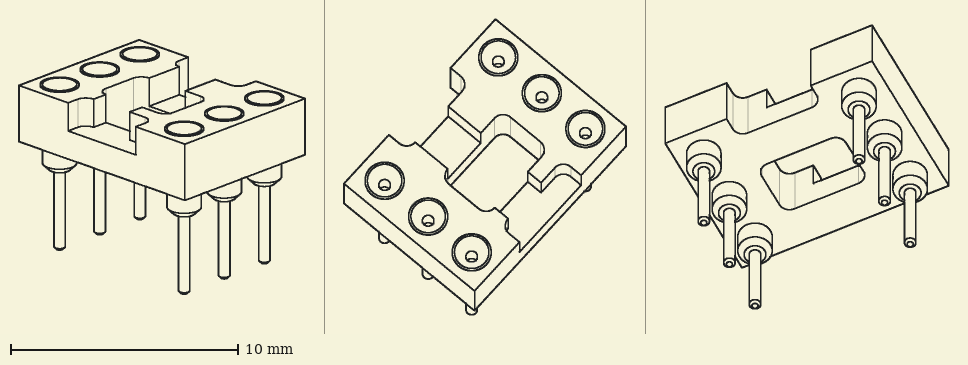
import cadquery as cq

total_height = 7.79
pitch = 2.54
pins_per_row = 3
row_spacing = 3 * pitch

body_length = 4 * pitch
body_width = pins_per_row * pitch
body_height = 2.66
bar_height = body_height / 2

opening_width = 4.13
corner_radius = 0.5
notch_depth = 1.1
window_back_y = 0.81
window_front_y = -1.93
channel_width = 2.21
channel_left_x = corner_radius - opening_width / 2

rim_diameter = 1.72
rim_height = 0.04
collar_diameter = 1.52
collar_length = 1.02
collar_taper_length = 0.28
collar_end_diameter = collar_diameter - 2 * collar_taper_length
lead_diameter = 0.51
lead_chamfer = 0.12
funnel_diameter = 1.52
funnel_depth = 0.58
socket_diameter = 0.51
socket_depth = 1.0

rim_top_z = body_height + rim_height
tip_z = rim_top_z - total_height
taper_top_z = -collar_length
taper_end_z = taper_top_z - collar_taper_length
funnel_floor_z = rim_top_z - funnel_depth
socket_floor_z = funnel_floor_z - socket_depth
back_y = body_width / 2
front_y = -body_width / 2


def pocket(left_x, front, width, depth, floor_z):
    """Rectangular cutter from floor_z up to the top of the body."""
    return cq.Workplane("XY").box(width, depth, body_height - floor_z, centered=False).translate(
        (left_x, front, floor_z)
    )


def make_window():
    """Through window with four rounded corners."""
    window = pocket(
        -opening_width / 2, window_front_y, opening_width, window_back_y - window_front_y, 0
    )
    return window.edges("|Z").fillet(corner_radius)


def make_back_notch():
    """Full-height notch in the +Y end with rounded inner corners."""
    notch = pocket(-opening_width / 2, back_y - notch_depth, opening_width, notch_depth, 0)
    return notch.edges("|Z and <Y").fillet(corner_radius)


def make_front_notch():
    """Notch in the -Y end that stops at the bar height."""
    notch = pocket(-opening_width / 2, front_y, opening_width, notch_depth, bar_height)
    return notch.edges("|Z and >Y").fillet(corner_radius)


def make_body():
    body = cq.Workplane("XY").box(
        body_length, body_width, body_height, centered=(True, True, False)
    )
    channel = pocket(channel_left_x, front_y, channel_width, body_width, bar_height)
    for cutter in (make_window(), make_back_notch(), make_front_notch(), channel):
        body = body.cut(cutter)
    return body


def make_pin():
    """Solid turned pin, revolved about the Z axis."""
    rim_radius = rim_diameter / 2
    collar_radius = collar_diameter / 2
    lead_radius = lead_diameter / 2
    return (
        cq.Workplane("XZ")
        .moveTo(0, rim_top_z)
        .lineTo(rim_radius, rim_top_z)
        .lineTo(rim_radius, body_height)
        .lineTo(collar_radius, body_height)
        .lineTo(collar_radius, taper_top_z)
        .lineTo(collar_end_diameter / 2, taper_end_z)
        .lineTo(lead_radius, taper_end_z)
        .lineTo(lead_radius, tip_z + lead_chamfer)
        .lineTo(lead_radius - lead_chamfer, tip_z)
        .lineTo(0, tip_z)
        .close()
        .revolve(360, (0, 0, 0), (0, 1, 0))
    )


def make_socket():
    """Entry funnel with a straight blind bore below it."""
    socket_radius = socket_diameter / 2
    return (
        cq.Workplane("XZ")
        .moveTo(0, rim_top_z)
        .lineTo(funnel_diameter / 2, rim_top_z)
        .lineTo(socket_radius, funnel_floor_z)
        .lineTo(socket_radius, socket_floor_z)
        .lineTo(0, socket_floor_z)
        .close()
        .revolve(360, (0, 0, 0), (0, 1, 0))
    )


pin = make_pin()
socket = make_socket()
result = make_body()
for pin_x in (-row_spacing / 2, row_spacing / 2):
    for index in range(pins_per_row):
        pin_y = (index - (pins_per_row - 1) / 2) * pitch
        result = result.union(pin.translate((pin_x, pin_y, 0)))
        result = result.cut(socket.translate((pin_x, pin_y, 0)))